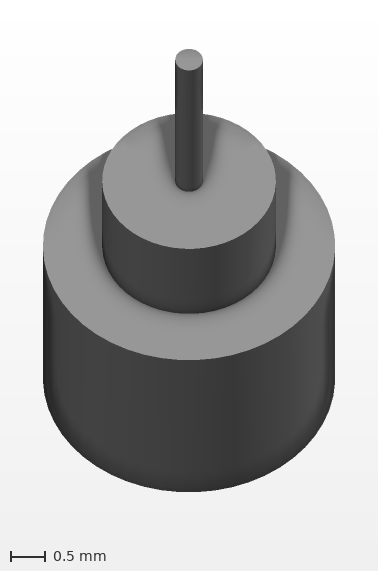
import cadquery as cq

total_height = 7.35
body_diameter = 4.205
body_height = 3.05
collar_diameter = 2.5
collar_height = 1.5
seal_diameter = 1.95
pin_diameter = 0.4

collar_top = body_height + collar_height
pin_length = total_height - collar_top


def cylinder(diameter, base_z, height):
    """Solid cylinder standing on the Z axis."""
    return cq.Workplane("XY").workplane(offset=base_z).circle(diameter / 2).extrude(height)


body = cylinder(body_diameter, 0, body_height)
collar = cylinder(collar_diameter, body_height, collar_height)
housing = body.union(collar)

seal = cylinder(seal_diameter, body_height, collar_height)
pin = cylinder(pin_diameter, collar_top, pin_length)

result = housing.cut(seal).union(seal, clean=False).union(pin, clean=False)